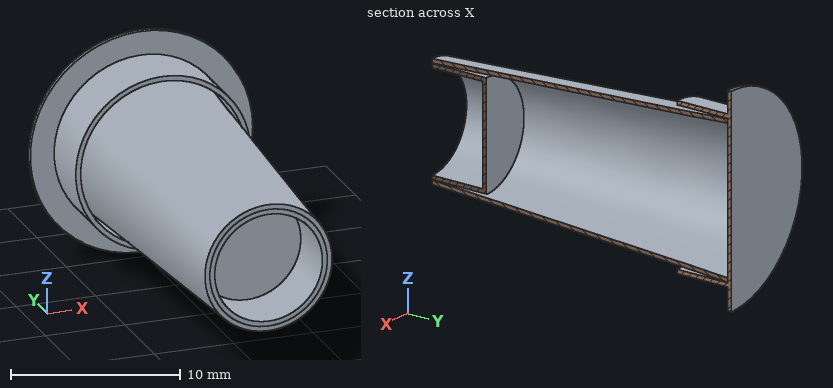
import cadquery as cq

total_length = 22.0
wall = 0.3
flange_radius = 7.0
collar_radius = 5.5
cap_length = 4.0
tip_radius = 4.0
cup_length = 4.0

tip_y = -total_length / 2
back_y = total_length / 2
flange_front_y = back_y - wall
collar_front_y = back_y - cap_length
cup_back_y = tip_y + cup_length
cup_floor_y = cup_back_y - wall

collar_bore_radius = collar_radius - wall
cup_radius = tip_radius - wall
cup_bore_radius = cup_radius - wall


def revolve_about_y(profile):
    """Revolve a closed outline of (radius, y) points around the Y axis."""
    return cq.Workplane("XY").polyline(profile).close().revolve(360, (0, 0, 0), (0, 1, 0))


def make_cap():
    """Closed flange disc with a thin collar around the wide end of the sleeve."""
    return revolve_about_y([
        (0, back_y),
        (flange_radius, back_y),
        (flange_radius, flange_front_y),
        (collar_radius, flange_front_y),
        (collar_radius, collar_front_y),
        (collar_bore_radius, collar_front_y),
        (collar_bore_radius, flange_front_y),
        (0, flange_front_y),
    ])


def make_sleeve():
    """Thin tapered tube whose wide end seats in the collar against the flange."""
    return revolve_about_y([
        (cup_radius, tip_y),
        (tip_radius, tip_y),
        (collar_bore_radius, flange_front_y),
        (collar_bore_radius - wall, flange_front_y),
    ])


def make_cup():
    """Straight cup held in the sleeve's mouth, open at the tip."""
    return revolve_about_y([
        (cup_bore_radius, tip_y),
        (cup_radius, tip_y),
        (cup_radius, cup_back_y),
        (0, cup_back_y),
        (0, cup_floor_y),
        (cup_bore_radius, cup_floor_y),
    ])


cap = make_cap()
sleeve = make_sleeve()
cup = make_cup()

result = cq.Compound.makeCompound([cap.val(), sleeve.val(), cup.val()])